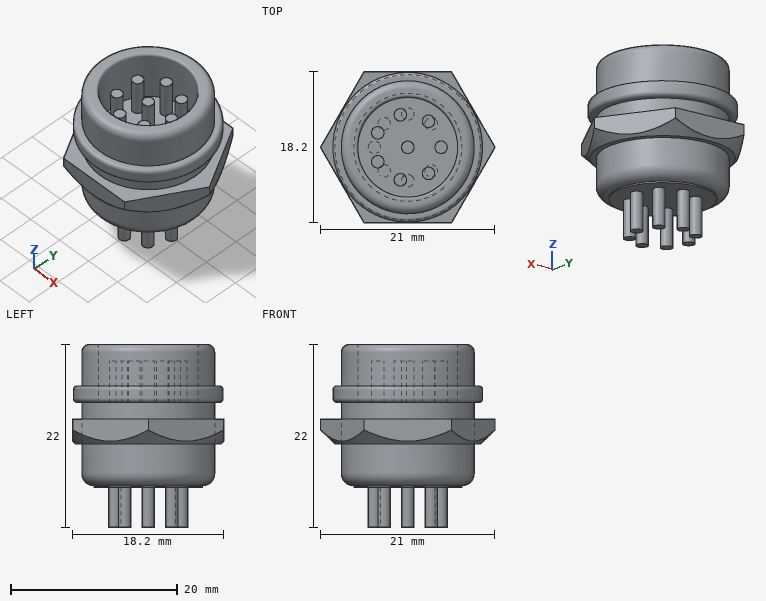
import cadquery as cq
import math

total_height = 22.0
base_z = 4.8
insulator_lip = 0.2

shell_diameter = 16.0
top_fillet = 1.0
bottom_fillet = 1.5
socket_diameter = 12.0
socket_depth = 7.0
socket_rim_fillet = 0.3
insulator_diameter = 13.0

flange_diameter = 18.0
flange_top_drop = 5.0
flange_thickness = 2.0
flange_fillet = 0.48

pin_diameter = 1.5
pin_circle_radius = 4.0
ring_pin_count = 7
tail_count = ring_pin_count + 1
pin_top_drop = 2.0

nut_across_flats = 18.2
nut_thickness = 3.0
nut_gap = 2.0
nut_end_diameter = 17.5
nut_corner_chamfer_height = 1.7

shell_bottom_z = base_z + insulator_lip
socket_floor_z = total_height - socket_depth
flange_bottom_z = total_height - flange_top_drop - flange_thickness
nut_bottom_z = flange_bottom_z - nut_gap - nut_thickness
nut_across_corners = nut_across_flats / math.cos(math.radians(30))


def disc(diameter, bottom_z, height):
    """Solid cylinder on the Z axis."""
    return cq.Workplane("XY").workplane(offset=bottom_z).circle(diameter / 2).extrude(height)


def make_shell():
    """Rounded barrel with its flange, insulator lip and open socket."""
    barrel = disc(shell_diameter, shell_bottom_z, total_height - shell_bottom_z)
    barrel = barrel.faces(">Z").edges().fillet(top_fillet)
    barrel = barrel.faces("<Z").edges().fillet(bottom_fillet)
    flange = disc(flange_diameter, flange_bottom_z, flange_thickness).edges().fillet(flange_fillet)
    lip = disc(insulator_diameter, base_z, insulator_lip)
    socket = disc(socket_diameter, socket_floor_z, socket_depth)
    shell = barrel.union(flange).union(lip).cut(socket)
    socket_rim = shell.faces(">Z").edges(cq.selectors.RadiusNthSelector(0))
    return socket_rim.fillet(socket_rim_fillet)


def pin_ring(count, bottom_z, height):
    """Evenly spaced pins on the pin circle, the first on +X."""
    ring = cq.Workplane("XY").workplane(offset=bottom_z)
    ring = ring.polarArray(pin_circle_radius, 0, 360, count)
    return ring.circle(pin_diameter / 2).extrude(height)


def make_contacts():
    """Contact pins inside the socket: a centre pin and a ring around it."""
    contact_height = total_height - pin_top_drop - socket_floor_z
    ring = pin_ring(ring_pin_count, socket_floor_z, contact_height)
    return ring.union(disc(pin_diameter, socket_floor_z, contact_height))


def make_tails():
    """Solder tails below the insulator, one per contact, all on one ring."""
    return pin_ring(tail_count, 0, base_z)


def make_nut():
    """Hexagon with corners on X, its lower corners turned to a cone, bored to fit the barrel."""
    hexagon = cq.Workplane("XY").workplane(offset=nut_bottom_z)
    hexagon = hexagon.polygon(6, nut_across_corners).extrude(nut_thickness)
    cone_slope = (nut_across_corners - nut_end_diameter) / 2 / nut_corner_chamfer_height
    cone_top_radius = nut_end_diameter / 2 + cone_slope * nut_thickness
    cone = (
        cq.Workplane("XZ")
        .moveTo(0, nut_bottom_z)
        .lineTo(nut_end_diameter / 2, nut_bottom_z)
        .lineTo(cone_top_radius, nut_bottom_z + nut_thickness)
        .lineTo(0, nut_bottom_z + nut_thickness)
        .close()
        .revolve()
    )
    return hexagon.intersect(cone).cut(disc(shell_diameter, nut_bottom_z, nut_thickness))


connector = make_shell().union(make_contacts()).union(make_tails())
nut = make_nut()

result = cq.Compound.makeCompound([connector.val(), nut.val()])